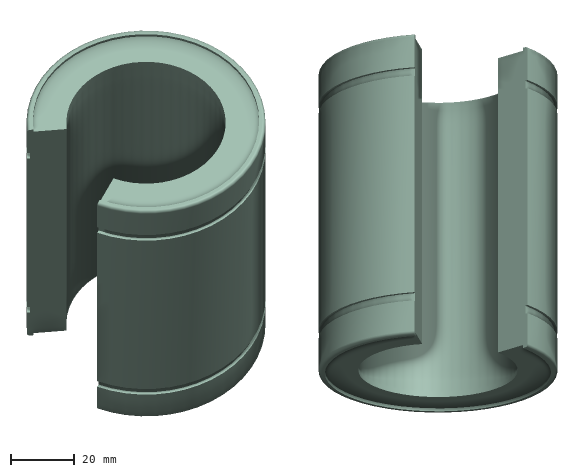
import cadquery as cq
import math

length = 100.0
outer_diameter = 75.0
bore_diameter = 50.0
opening_angle = 60.0

groove_diameter = 73.0
groove_width = 2.7
groove_outer_span = 77.6

edge_round = 1.0

recess_diameter = 71.0
recess_depth = 1.0

outer_radius = outer_diameter / 2
bore_radius = bore_diameter / 2

def ring(outside_diameter, inside_diameter, height, bottom):
    """Return a ring around Z whose lower face lies at the given height."""
    return (
        cq.Workplane("XY", origin=(0, 0, bottom))
        .circle(outside_diameter / 2)
        .circle(inside_diameter / 2)
        .extrude(height)
    )

def opening():
    """Return the wedge with radial sides that opens the sleeve lengthwise."""
    depth = outer_diameter
    half_width = depth * math.tan(math.radians(opening_angle / 2))
    return (
        cq.Workplane("XY", origin=(0, 0, -length / 2))
        .polyline([(0, 0), (-half_width, -depth), (half_width, -depth)])
        .close()
        .extrude(length)
    )

sleeve = cq.Workplane("XY").circle(outer_radius).extrude(length / 2, both=True)
sleeve = sleeve.faces("|Z").edges().fillet(edge_round)
bore = cq.Workplane("XY").circle(bore_radius).extrude(length / 2, both=True)
sleeve = sleeve.cut(bore)

upper_groove_bottom = groove_outer_span / 2 - groove_width
for groove_bottom in (upper_groove_bottom, -groove_outer_span / 2):
    sleeve = sleeve.cut(ring(outer_diameter, groove_diameter, groove_width, groove_bottom))

for recess_bottom in (length / 2 - recess_depth, -length / 2):
    sleeve = sleeve.cut(ring(recess_diameter, bore_diameter, recess_depth, recess_bottom))

result = sleeve.cut(opening())